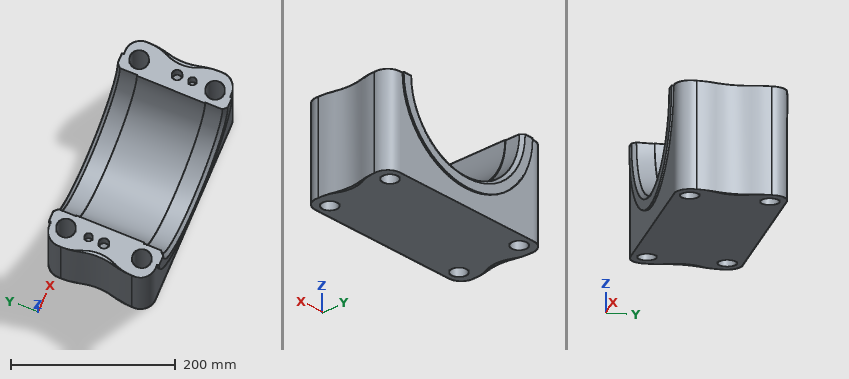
import cadquery as cq
import math

LENGTH = 278.7
WIDTH = 140.0
HEIGHT = 140.0
CORNER_RADIUS = 20.0

BOSS_RADIUS = 114.8
BOSS_PROJECTION = 2.5
OVERALL_WIDTH = WIDTH + 2 * BOSS_PROJECTION

CENTER_BORE_RADIUS = 95.3
END_BORE_RADIUS = 96.5
CENTER_BORE_LENGTH = 89.7
MOUTH_CHAMFER = 5.0

WAIST_HALF_WIDTH = 46.5
WAIST_INFLECTION = 21.5
RECESS_DEPTH = 10.3
PAD_DEPTH = 6.0

BOLT_DIAMETER = 24.0
BOLT_X = 115.0
BOLT_Y = WIDTH / 2 - CORNER_RADIUS
PIN_DIAMETER = 13.0
DOWEL_DIAMETER = 10.3
DOWEL_OFFSET = 20.0
BLIND_DEPTH = 22.3
DRILL_POINT_ANGLE = 118.0

SIDES = (-1, 1)


def draw_waist(sketch, side, depth, direction):
    """Continue an outline along the waist, from Y = -direction * half width to the other end."""
    turn = 2 * math.atan(depth / WAIST_HALF_WIDTH)
    hollow_radius = WAIST_INFLECTION / math.sin(turn)
    shoulder_radius = (WAIST_HALF_WIDTH - WAIST_INFLECTION) / math.sin(turn)
    edge = LENGTH / 2
    inflection_x = edge - shoulder_radius * (1 - math.cos(turn))
    shoulder_x = edge - shoulder_radius * (1 - math.cos(turn / 2))
    shoulder_y = WAIST_HALF_WIDTH - shoulder_radius * math.sin(turn / 2)

    def point(x, y):
        return (side * x, direction * y)

    return (
        sketch
        .threePointArc(point(shoulder_x, -shoulder_y), point(inflection_x, -WAIST_INFLECTION))
        .threePointArc(point(edge - depth, 0), point(inflection_x, WAIST_INFLECTION))
        .threePointArc(point(shoulder_x, shoulder_y), point(edge, WAIST_HALF_WIDTH))
    )


def waist_region(side, depth):
    """Full-height solid between the flat side plane and the waist curve."""
    start = cq.Workplane("XY").moveTo(side * LENGTH / 2, -WAIST_HALF_WIDTH)
    return draw_waist(start, side, depth, 1).close().extrude(-HEIGHT)


def make_block():
    return (
        cq.Workplane("XY")
        .box(LENGTH, WIDTH, HEIGHT, centered=(True, True, False))
        .translate((0, 0, -HEIGHT))
        .edges("|Z").fillet(CORNER_RADIUS)
    )


def make_boss():
    """Half disc below the parting face, spanning both end faces."""
    return (
        cq.Workplane("XZ")
        .moveTo(-BOSS_RADIUS, 0)
        .threePointArc((0, -BOSS_RADIUS), (BOSS_RADIUS, 0))
        .close()
        .extrude(OVERALL_WIDTH / 2, both=True)
    )


def make_bore():
    """Stepped and chamfered bore, revolved about the Y axis."""
    center_end = CENTER_BORE_LENGTH / 2
    mouth = OVERALL_WIDTH / 2
    chamfer_start = mouth - MOUTH_CHAMFER
    mouth_radius = END_BORE_RADIUS + MOUTH_CHAMFER
    return (
        cq.Workplane("XY")
        .moveTo(0, -mouth)
        .lineTo(mouth_radius, -mouth)
        .lineTo(END_BORE_RADIUS, -chamfer_start)
        .lineTo(END_BORE_RADIUS, -center_end)
        .lineTo(CENTER_BORE_RADIUS, -center_end)
        .lineTo(CENTER_BORE_RADIUS, center_end)
        .lineTo(END_BORE_RADIUS, center_end)
        .lineTo(END_BORE_RADIUS, chamfer_start)
        .lineTo(mouth_radius, mouth)
        .lineTo(0, mouth)
        .close()
        .revolve(360, (0, 0, 0), (0, 1, 0))
    )


def make_bolt_holes():
    return (
        cq.Workplane("XY")
        .rect(2 * BOLT_X, 2 * BOLT_Y, forConstruction=True)
        .vertices()
        .circle(BOLT_DIAMETER / 2)
        .extrude(-HEIGHT)
    )


def make_blind_hole(diameter, x, y):
    """Drilled hole with a conical bottom, open at the parting face."""
    radius = diameter / 2
    tip_length = radius / math.tan(math.radians(DRILL_POINT_ANGLE / 2))
    return (
        cq.Workplane("XZ")
        .lineTo(radius, 0)
        .lineTo(radius, -BLIND_DEPTH)
        .lineTo(0, -BLIND_DEPTH - tip_length)
        .close()
        .revolve(360, (0, 0, 0), (0, 1, 0))
        .translate((x, y, 0))
    )


def make_housing():
    housing = make_block().union(make_boss()).cut(make_bore()).cut(make_bolt_holes())
    for side in SIDES:
        housing = housing.cut(waist_region(side, RECESS_DEPTH))
        housing = housing.cut(make_blind_hole(PIN_DIAMETER, side * BOLT_X, 0))
        housing = housing.cut(make_blind_hole(DOWEL_DIAMETER, side * BOLT_X, -side * DOWEL_OFFSET))
    return housing


def make_side_pad(side):
    """Thin crescent filling the inner part of a waist recess, flush at top and bottom."""
    start = cq.Workplane("XY").moveTo(side * LENGTH / 2, -WAIST_HALF_WIDTH)
    outline = draw_waist(start, side, RECESS_DEPTH, 1)
    return draw_waist(outline, side, PAD_DEPTH, -1).close().extrude(-HEIGHT)


housing = make_housing()
side_pads = [make_side_pad(side) for side in SIDES]

result = cq.Compound.makeCompound([housing.solids().val(), *[pad.val() for pad in side_pads]])